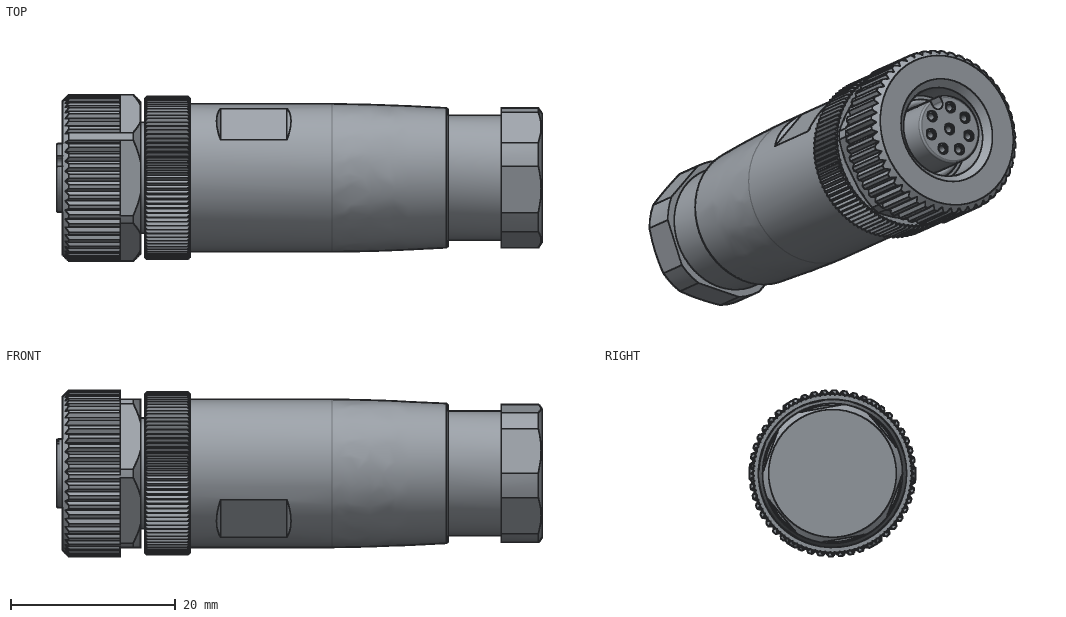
import cadquery as cq
import math


NUT_START = 0.7
KNURL_END = 7.7
NUT_END = 10.2
RING_START = 10.7
RING_END = 16.2
TAPER_START = 33.4
TAPER_END = 47.5
GLAND_START = 53.95
TOTAL_LENGTH = 58.95

NUT_DIAMETER = 20.2
NUT_HEX_WIDTH = 18.0
NUT_FRONT_CHAMFER = 0.8
NUT_REAR_CHAMFER = 0.9
NUT_KNURL_COUNT = 50
NUT_GROOVE_WIDTH = 0.8
NUT_GROOVE_DEPTH = 0.45
NUT_INDEX_ANGLE = 60.0

BORE_DIAMETER = 11.05
BORE_MOUTH_DIAMETER = 12.8
BORE_MOUTH_DEPTH = 0.9
CAVITY_DEPTH = 6.0
SEAL_DIAMETER = 9.15
SEAL_SECTION_RADIUS = 0.47

INSERT_DIAMETER = 8.35
INSERT_EDGE_RADIUS = 0.25
KEY_ANGLE = 60.0
KEY_CIRCLE_RADIUS = 3.45
KEY_DIAMETER = 1.5
CONTACT_CIRCLE_DIAMETER = 5.5
OUTER_CONTACT_COUNT = 7
CONTACT_SPACING_ANGLE = 49.2
CONTACT_MOUTH_DIAMETER = 1.35
CONTACT_MOUTH_DEPTH = 0.3
CONTACT_BORE_DIAMETER = 0.9
CONTACT_BORE_DEPTH = 5.0

NECK_DIAMETER = 13.5
RING_DIAMETER = 19.8
RING_CHAMFER = 0.3
RING_KNURL_COUNT = 100
RING_ROOT_DIAMETER = 19.0

BODY_DIAMETER = 18.0
TAPER_END_DIAMETER = 17.0
TAPER_BULGE = 0.08
TAPER_END_CHAMFER = 0.2
REAR_NECK_DIAMETER = 15.2
BODY_FLAT_WIDTH = 17.0
BODY_FLAT_START = 19.9
BODY_FLAT_END = 27.95
BODY_FLAT_ANGLE = 40.0

GLAND_DIAMETER = 17.0
GLAND_HEX_WIDTH = 16.0
GLAND_HEX_ANGLE = 10.0
GLAND_CHAMFER = 0.5
GLAND_CHAMFER_RISE = 0.75

HEX_SIDES = 6


def cylinder(start, end, diameter):
    """Round bar on the X axis between two stations."""
    return cq.Workplane("YZ", origin=(start, 0, 0)).circle(diameter / 2).extrude(end - start)


def revolved(outline):
    """Turn a closed XY outline about the X axis."""
    return outline.close().revolve(360, (0, 0, 0), (1, 0, 0))


def hexagon(start, end, width, angle):
    """Hexagonal bar with one corner at the given angle from +Y toward +Z."""
    corner_diameter = width / math.cos(math.pi / HEX_SIDES)
    bar = cq.Workplane("YZ", origin=(start, 0, 0)).polygon(HEX_SIDES, corner_diameter).extrude(end - start)
    return bar.rotate((0, 0, 0), (1, 0, 0), angle)


def polar(radius, angle):
    """Y and Z of a point at an angle in degrees from +Y toward +Z."""
    return radius * math.cos(math.radians(angle)), radius * math.sin(math.radians(angle))


def knurled_bar(start, end, diameter, count, groove_width, groove_depth, index_width=0):
    """Round bar with straight V grooves; the land centred on +Y can be wider than the others."""
    radius = diameter / 2
    pitch = 360 / count
    half_land = pitch / 2 - math.degrees(groove_width / 2 / radius)
    half_index = max(half_land, math.degrees(index_width / 2 / radius))
    profile = cq.Workplane("YZ", origin=(start, 0, 0)).moveTo(*polar(radius, -half_index))
    profile = profile.threePointArc(polar(radius, 0), polar(radius, half_index))
    for tooth in range(1, count):
        center = tooth * pitch
        profile = profile.lineTo(*polar(radius - groove_depth, center - pitch / 2))
        profile = profile.lineTo(*polar(radius, center - half_land))
        profile = profile.threePointArc(polar(radius, center), polar(radius, center + half_land))
    return profile.lineTo(*polar(radius - groove_depth, -pitch / 2)).close().extrude(end - start)


def coupling_nut():
    """Knurled front and hexagonal rear; one hexagon corner continues as a plain land in the knurl."""
    radius = NUT_DIAMETER / 2
    half_corner = math.pi / HEX_SIDES - math.acos(NUT_HEX_WIDTH / NUT_DIAMETER)
    front_envelope = cylinder(NUT_START, KNURL_END, NUT_DIAMETER).faces("<X").chamfer(NUT_FRONT_CHAMFER)
    knurl = knurled_bar(
        NUT_START,
        KNURL_END,
        NUT_DIAMETER,
        NUT_KNURL_COUNT,
        NUT_GROOVE_WIDTH,
        NUT_GROOVE_DEPTH,
        index_width=2 * half_corner * radius,
    )
    front = knurl.intersect(front_envelope).rotate((0, 0, 0), (1, 0, 0), NUT_INDEX_ANGLE)

    rear_envelope = cylinder(KNURL_END, NUT_END, NUT_DIAMETER).faces(">X").chamfer(NUT_REAR_CHAMFER)
    rear = hexagon(KNURL_END, NUT_END, NUT_HEX_WIDTH, NUT_INDEX_ANGLE).intersect(rear_envelope)
    return front.union(rear)


def nut_cavity():
    """Bore of the coupling nut with a conical mouth."""
    bore_radius = BORE_DIAMETER / 2
    return revolved(
        cq.Workplane("XY")
        .moveTo(NUT_START, 0)
        .lineTo(NUT_START, BORE_MOUTH_DIAMETER / 2)
        .lineTo(NUT_START + BORE_MOUTH_DEPTH, bore_radius)
        .lineTo(CAVITY_DEPTH, bore_radius)
        .lineTo(CAVITY_DEPTH, 0)
    )


def contact_angles():
    """Outer contacts, spread evenly about the point opposite the key."""
    first = KEY_ANGLE + 180 - CONTACT_SPACING_ANGLE * (OUTER_CONTACT_COUNT - 1) / 2
    return [first + CONTACT_SPACING_ANGLE * index for index in range(OUTER_CONTACT_COUNT)]


def contact_insert():
    """Round insert with a key slot, stepped contact holes and a seal ring at its foot."""
    insert = cylinder(0, NUT_END, INSERT_DIAMETER).faces("<X").edges().fillet(INSERT_EDGE_RADIUS)
    seal = cq.Workplane("XY").add(
        cq.Solid.makeTorus(
            SEAL_DIAMETER / 2,
            SEAL_SECTION_RADIUS,
            cq.Vector(CAVITY_DEPTH, 0, 0),
            cq.Vector(1, 0, 0),
        )
    )
    key_depth = CAVITY_DEPTH - SEAL_SECTION_RADIUS
    key_y, key_z = polar(KEY_CIRCLE_RADIUS, KEY_ANGLE)
    key_bore = cq.Workplane("YZ").center(key_y, key_z).circle(KEY_DIAMETER / 2).extrude(key_depth)
    key_mouth = (
        cq.Workplane("YZ")
        .center(KEY_CIRCLE_RADIUS + KEY_DIAMETER / 2, 0)
        .rect(KEY_DIAMETER, KEY_DIAMETER)
        .extrude(key_depth)
        .rotate((0, 0, 0), (1, 0, 0), KEY_ANGLE)
    )
    insert = insert.cut(key_bore).cut(key_mouth)

    centers = [(0, 0)] + [polar(CONTACT_CIRCLE_DIAMETER / 2, angle) for angle in contact_angles()]
    mouths = cq.Workplane("YZ").pushPoints(centers).circle(CONTACT_MOUTH_DIAMETER / 2)
    bores = cq.Workplane("YZ").pushPoints(centers).circle(CONTACT_BORE_DIAMETER / 2)
    insert = insert.cut(mouths.extrude(CONTACT_MOUTH_DEPTH)).cut(bores.extrude(CONTACT_BORE_DEPTH))
    return insert.union(seal)


def knurled_ring():
    """Ring with sharp triangular serrations."""
    radius = RING_DIAMETER / 2
    root_radius = RING_ROOT_DIAMETER / 2
    pitch = 360 / RING_KNURL_COUNT
    outline = []
    for tooth in range(RING_KNURL_COUNT):
        outline.append(polar(radius, tooth * pitch))
        outline.append(polar(root_radius, (tooth + 0.5) * pitch))
    base = cq.Workplane("YZ", origin=(RING_START, 0, 0))
    serrated = base.polyline(outline).close().extrude(RING_END - RING_START)
    envelope = cylinder(RING_START, RING_END, RING_DIAMETER).edges().chamfer(RING_CHAMFER)
    return serrated.intersect(envelope)


def body_flat_cutter():
    """Prism that leaves one wrench flat with 45 degree ends on the +Y side."""
    flat_height = BODY_FLAT_WIDTH / 2
    runout = BODY_DIAMETER / 2 - flat_height
    return (
        cq.Workplane("XY")
        .moveTo(BODY_FLAT_START, flat_height)
        .lineTo(BODY_FLAT_END, flat_height)
        .lineTo(BODY_FLAT_END + 2 * runout, flat_height + 2 * runout)
        .lineTo(BODY_FLAT_START - 2 * runout, flat_height + 2 * runout)
        .close()
        .extrude(BODY_DIAMETER / 2, both=True)
    )


def housing():
    """Barrel with two opposite wrench flats, a gently curved taper and a neck at each end."""
    body_radius = BODY_DIAMETER / 2
    taper_end_radius = TAPER_END_DIAMETER / 2
    taper_edge = TAPER_END - TAPER_END_CHAMFER
    taper_middle = (
        (TAPER_START + taper_edge) / 2,
        (body_radius + taper_end_radius) / 2 + TAPER_BULGE,
    )
    body = revolved(
        cq.Workplane("XY")
        .moveTo(RING_END, 0)
        .lineTo(RING_END, body_radius)
        .lineTo(TAPER_START, body_radius)
        .threePointArc(taper_middle, (taper_edge, taper_end_radius))
        .lineTo(TAPER_END, taper_end_radius - TAPER_END_CHAMFER)
        .lineTo(TAPER_END, 0)
    )
    for side in (0, 180):
        body = body.cut(body_flat_cutter().rotate((0, 0, 0), (1, 0, 0), BODY_FLAT_ANGLE + side))
    front_neck = cylinder(NUT_END, RING_START, NECK_DIAMETER)
    rear_neck = cylinder(TAPER_END, GLAND_START, REAR_NECK_DIAMETER)
    return body.union(front_neck).union(rear_neck)


def gland_nut():
    """Hexagonal nut with rounded corners and a chamfered rear end."""
    radius = GLAND_DIAMETER / 2
    envelope = revolved(
        cq.Workplane("XY")
        .moveTo(GLAND_START, 0)
        .lineTo(GLAND_START, radius)
        .lineTo(TOTAL_LENGTH - GLAND_CHAMFER, radius)
        .lineTo(TOTAL_LENGTH, radius - GLAND_CHAMFER_RISE)
        .lineTo(TOTAL_LENGTH, 0)
    )
    return hexagon(GLAND_START, TOTAL_LENGTH, GLAND_HEX_WIDTH, GLAND_HEX_ANGLE).intersect(envelope)


result = (
    coupling_nut()
    .cut(nut_cavity())
    .union(contact_insert())
    .union(knurled_ring())
    .union(housing())
    .union(gland_nut())
)